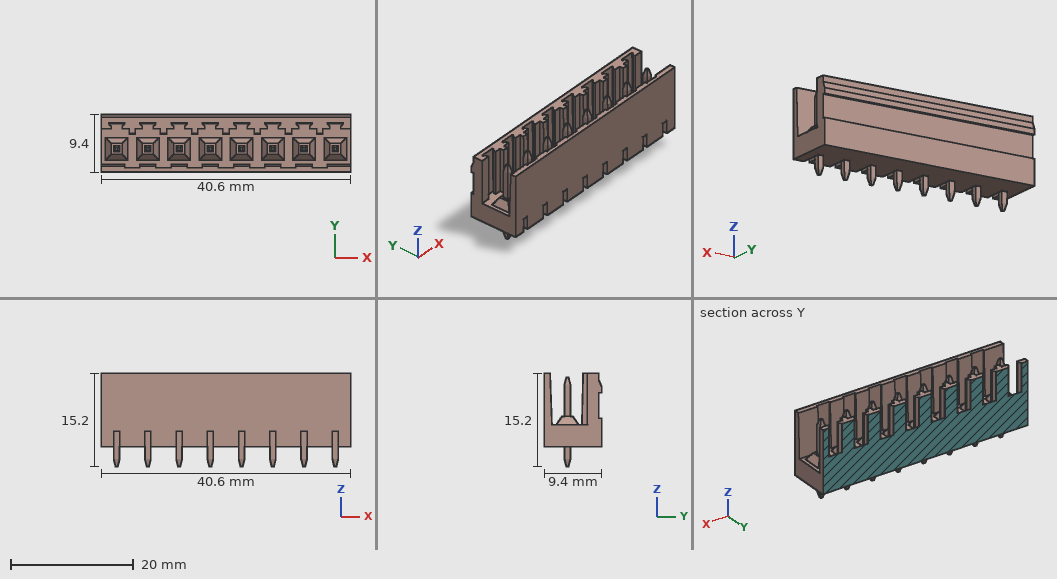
import cadquery as cq

PIN_COUNT = 8
PITCH = 5.08
PIN_Y = 3.8
PIN_WIDTH = 1.0
PIN_TIP_WIDTH = 0.4
PIN_TAPER = 1.2
PIN_TOP_Z = 11.3
PIN_BOTTOM_Z = -3.2

LENGTH = PIN_COUNT * PITCH
DEPTH = 9.4
HEIGHT = 12.0
FLOOR_Z = 3.6

FRONT_WALL_TOP = 1.0
FRONT_WALL_FOOT = 1.3
FRONT_RECESS_WALL = 0.72
FRONT_RECESS_WIDTH = 2.45

BACK_WALL_INNER_Y = 7.05
LEDGE_DEPTH = 0.5
BACK_WALL_OUTER_Y = DEPTH - LEDGE_DEPTH
LEDGE_RAMP_TOP_Z = 10.9
LEDGE_RAMP_FOOT_Z = 9.75
LEDGE_UNDERSIDE_Z = 8.78
BASE_STEP_Z = 4.65

RIB_WIDTH = 1.0
RIB_TOP_Y = 6.33
RIB_FOOT_Y = 6.13

GROOVE_BACK_Y = 8.05
GROOVE_BACK_FOOT_Y = 7.9
GROOVE_SHOULDER_Y = 7.85
GROOVE_NECK_Y = 7.45
GROOVE_WIDTH = 2.6
GROOVE_NECK_WIDTH = 1.8

COLLAR_BASE = 3.65
COLLAR_TOP = 1.8
COLLAR_HEIGHT = 1.35

SLOT_HEIGHT = 2.5

pin_xs = [(i - (PIN_COUNT - 1) / 2) * PITCH for i in range(PIN_COUNT)]
between_xs = [x + PITCH / 2 for x in pin_xs[:-1]]


def extrude_along_x(points, width, center_x):
    """Prism with a (Y, Z) outline, centred on center_x."""
    return (
        cq.Workplane("YZ", origin=(center_x - width / 2, 0, 0))
        .polyline(points)
        .close()
        .extrude(width)
    )


def square_frustum(center_x, z_start, z_end, width_start, width_end):
    """Square tapered block on a pin axis."""
    return (
        cq.Workplane("XY", origin=(center_x, PIN_Y, z_start))
        .rect(width_start, width_start)
        .workplane(offset=z_end - z_start)
        .rect(width_end, width_end)
        .loft(ruled=True)
    )


def square_bar(center_x, z_start, z_end):
    """Square bar of the pin's section on a pin axis."""
    return (
        cq.Workplane("XY", origin=(center_x, PIN_Y, z_start))
        .rect(PIN_WIDTH, PIN_WIDTH)
        .extrude(z_end - z_start)
    )


def channel_body():
    """Open-ended U channel with the latch ledge on the back."""
    return extrude_along_x(
        [
            (0, 0),
            (DEPTH, 0),
            (DEPTH, BASE_STEP_Z),
            (BACK_WALL_OUTER_Y, BASE_STEP_Z),
            (BACK_WALL_OUTER_Y, LEDGE_UNDERSIDE_Z),
            (DEPTH, LEDGE_UNDERSIDE_Z),
            (DEPTH, LEDGE_RAMP_FOOT_Z),
            (BACK_WALL_OUTER_Y, LEDGE_RAMP_TOP_Z),
            (BACK_WALL_OUTER_Y, HEIGHT),
            (BACK_WALL_INNER_Y, HEIGHT),
            (BACK_WALL_INNER_Y, FLOOR_Z),
            (FRONT_WALL_FOOT, FLOOR_Z),
            (FRONT_WALL_TOP, HEIGHT),
            (0, HEIGHT),
        ],
        LENGTH,
        0,
    )


def front_recess(center_x):
    """Straight-faced relief cut into the drafted inner side of the front wall."""
    return extrude_along_x(
        [
            (FRONT_RECESS_WALL, FLOOR_Z),
            (FRONT_WALL_FOOT, FLOOR_Z),
            (FRONT_WALL_FOOT, HEIGHT),
            (FRONT_RECESS_WALL, HEIGHT),
        ],
        FRONT_RECESS_WIDTH,
        center_x,
    )


def rib(center_x):
    """Drafted rib standing off the back wall's inner face."""
    return extrude_along_x(
        [
            (BACK_WALL_INNER_Y, FLOOR_Z),
            (BACK_WALL_INNER_Y, HEIGHT),
            (RIB_TOP_Y, HEIGHT),
            (RIB_FOOT_Y, FLOOR_Z),
        ],
        RIB_WIDTH,
        center_x,
    )


def dovetail_section(center_x, z, back_y):
    """Closed groove outline at one height."""
    half_width = GROOVE_WIDTH / 2
    half_neck = GROOVE_NECK_WIDTH / 2
    outline = [
        (-half_neck, BACK_WALL_INNER_Y),
        (-half_neck, GROOVE_NECK_Y),
        (-half_width, GROOVE_SHOULDER_Y),
        (-half_width, back_y),
        (half_width, back_y),
        (half_width, GROOVE_SHOULDER_Y),
        (half_neck, GROOVE_NECK_Y),
        (half_neck, BACK_WALL_INNER_Y),
    ]
    points = [cq.Vector(center_x + x, y, z) for x, y in outline]
    return cq.Wire.makePolygon(points, close=True)


def dovetail_groove(center_x):
    """Dovetail from the cavity floor to the top, its back face slightly drafted."""
    foot = dovetail_section(center_x, FLOOR_Z, GROOVE_BACK_FOOT_Y)
    top = dovetail_section(center_x, HEIGHT, GROOVE_BACK_Y)
    return cq.Workplane(cq.Solid.makeLoft([foot, top], True))


def front_slot(center_x):
    """Slot from the front face back to the pin, open at the underside."""
    return (
        cq.Workplane("XY", origin=(center_x, PIN_Y / 2, 0))
        .rect(PIN_WIDTH, PIN_Y)
        .extrude(SLOT_HEIGHT)
    )


def make_housing():
    collar_top_z = FLOOR_Z + COLLAR_HEIGHT
    body = channel_body()
    for x in between_xs:
        body = body.cut(front_recess(x))
        body = body.union(rib(x))
    for x in pin_xs:
        body = body.cut(dovetail_groove(x))
        body = body.union(square_frustum(x, FLOOR_Z, collar_top_z, COLLAR_BASE, COLLAR_TOP))
        body = body.cut(square_bar(x, 0, collar_top_z))
        body = body.cut(front_slot(x))
    return body


def make_pin(center_x):
    """Square pin tapered at both ends."""
    shank_bottom_z = PIN_BOTTOM_Z + PIN_TAPER
    shank_top_z = PIN_TOP_Z - PIN_TAPER
    shank = square_bar(center_x, shank_bottom_z, shank_top_z)
    upper_tip = square_frustum(center_x, shank_top_z, PIN_TOP_Z, PIN_WIDTH, PIN_TIP_WIDTH)
    lower_tip = square_frustum(center_x, PIN_BOTTOM_Z, shank_bottom_z, PIN_TIP_WIDTH, PIN_WIDTH)
    return shank.union(upper_tip).union(lower_tip)


housing = make_housing()
pins = [make_pin(x) for x in pin_xs]

result = cq.Compound.makeCompound([housing.val(), *[pin.val() for pin in pins]])